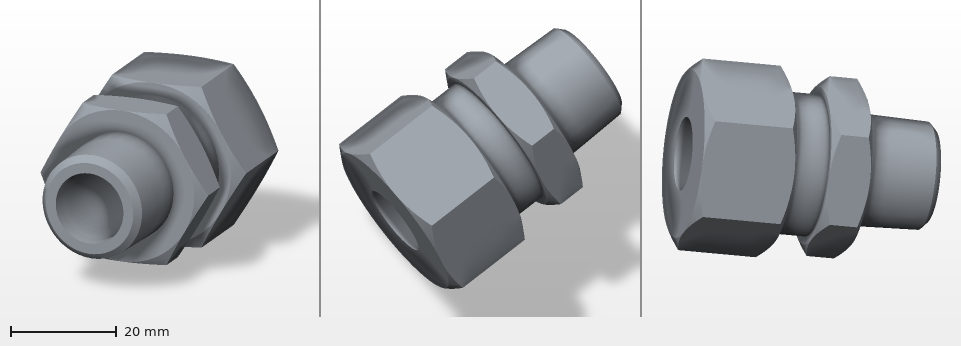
import cadquery as cq
import math

stub_length = 15.0
body_hex_length = 8.0
collar_length = 7.0
nut_length = 18.0

nut_across_flats = 32.0
body_hex_across_flats = 30.0
collar_diameter = 27.0
bore_diameter = 13.95

stub_root_diameter = 21.4
stub_taper = 1 / 16
tip_diameter = 18.0
tip_chamfer_length = 1.25

hex_chamfer_angle = math.radians(30)
cone_overshoot = 0.5

body_hex_start = stub_length
collar_start = body_hex_start + body_hex_length
nut_start = collar_start + collar_length
total_length = nut_start + nut_length


def revolve_profile(points):
    """Revolve a closed (radius, y) outline about the Y axis."""
    return cq.Workplane("XY").polyline(points).close().revolve(360, (0, 0), (0, 1))


def cylinder(diameter, start, length):
    """Cylinder along +Y, beginning at y = start."""
    plane = cq.Workplane("XZ", origin=(0, start, 0))
    return plane.circle(diameter / 2).extrude(-length)


def chamfered_hex(across_flats, start, length):
    """Hexagonal prism with corners on X and conical chamfers at both ends."""
    flat_radius = across_flats / 2
    corner_radius = flat_radius / math.cos(math.radians(30))
    plane = cq.Workplane("XZ", origin=(0, start, 0))
    prism = plane.polygon(6, 2 * corner_radius).extrude(-length)

    cone_radius = corner_radius + cone_overshoot
    cone_depth = (cone_radius - flat_radius) * math.tan(hex_chamfer_angle)
    end = start + length
    envelope = revolve_profile([
        (0, start),
        (flat_radius, start),
        (cone_radius, start + cone_depth),
        (cone_radius, end - cone_depth),
        (flat_radius, end),
        (0, end),
    ])
    return prism.intersect(envelope)


def tapered_stub():
    """Stub that narrows towards y = 0 and ends in a chamfer."""
    taper_length = stub_length - tip_chamfer_length
    small_diameter = stub_root_diameter - stub_taper * taper_length
    return revolve_profile([
        (0, 0),
        (tip_diameter / 2, 0),
        (small_diameter / 2, tip_chamfer_length),
        (stub_root_diameter / 2, stub_length),
        (0, stub_length),
    ])


stub = tapered_stub()
body_hex = chamfered_hex(body_hex_across_flats, body_hex_start, body_hex_length)
collar = cylinder(collar_diameter, collar_start, collar_length)
nut = chamfered_hex(nut_across_flats, nut_start, nut_length)
bore = cylinder(bore_diameter, 0, total_length)

result = stub.union(body_hex).union(collar).union(nut).cut(bore)